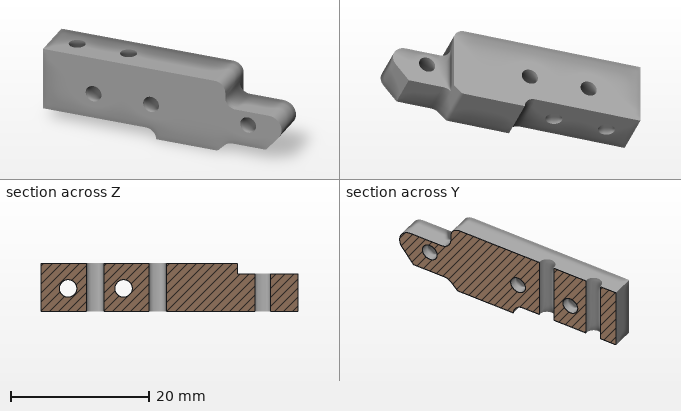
import cadquery as cq
import math

length = 37.3
thickness = 7.0
height = 11.22

bottom_step = 1.6
blend_radius = 1.6
shoulder_x = 28.5
tongue_top = 7.2
tip_radius = 1.98
tip_chamfer_x = 34.85
foot_start_x = 17.68
foot_end_x = 27.3
foot_slope_end_x = 28.9
foot_toe_radius = 0.75

tongue_thickness = 5.5

hole_diameter = 2.45
cross_holes = [(7.9, 5.5), (16.9, 5.5), (32.07, 5.07)]
vertical_hole_xs = [3.95, 11.97]
vertical_hole_y = 3.4


def nose_tangent_point(center_x, center_z):
    """Point where the line from the nose's lower corner touches the tip round."""
    dx = tip_chamfer_x - center_x
    dz = bottom_step - center_z
    corner_angle = math.atan2(dz, dx)
    touch_angle = corner_angle + math.acos(tip_radius / math.hypot(dx, dz))
    return (
        center_x + tip_radius * math.cos(touch_angle),
        center_z + tip_radius * math.sin(touch_angle),
    )


def make_body():
    tip_x = length - tip_radius
    tip_z = tongue_top - tip_radius
    diagonal = math.sqrt(0.5)
    foot_round_mid = (
        foot_start_x - blend_radius * (1 - diagonal),
        bottom_step - blend_radius * (1 - diagonal),
    )
    body = (
        cq.Workplane("XZ")
        .moveTo(0, bottom_step)
        .lineTo(0, height)
        .lineTo(shoulder_x, height)
        .lineTo(shoulder_x, tongue_top)
        .lineTo(tip_x, tongue_top)
        .threePointArc((length, tip_z), nose_tangent_point(tip_x, tip_z))
        .lineTo(tip_chamfer_x, bottom_step)
        .lineTo(foot_slope_end_x, bottom_step)
        .lineTo(foot_end_x, 0)
        .lineTo(foot_start_x, 0)
        .threePointArc(foot_round_mid, (foot_start_x - blend_radius, bottom_step))
        .close()
        .extrude(-thickness)
    )
    for x, z, radius in [
        (shoulder_x, height, blend_radius),
        (shoulder_x, tongue_top, blend_radius),
        (foot_slope_end_x, bottom_step, blend_radius),
        (foot_end_x, 0, foot_toe_radius),
    ]:
        corner = cq.selectors.NearestToPointSelector((x, thickness / 2, z))
        body = body.edges("|Y").edges(corner).fillet(radius)
    return body


def tongue_relief():
    """Material removed behind the tongue, past the shoulder."""
    return cq.Workplane("XY").box(
        length - shoulder_x, thickness - tongue_thickness, height, centered=False
    ).translate((shoulder_x, tongue_thickness, 0))


def cross_hole_cutters():
    return cq.Workplane("XZ").pushPoints(cross_holes).circle(hole_diameter / 2).extrude(-thickness)


def vertical_hole_cutters():
    centers = [(x, vertical_hole_y) for x in vertical_hole_xs]
    return cq.Workplane("XY").pushPoints(centers).circle(hole_diameter / 2).extrude(height)


result = make_body().cut(tongue_relief()).cut(cross_hole_cutters()).cut(vertical_hole_cutters())